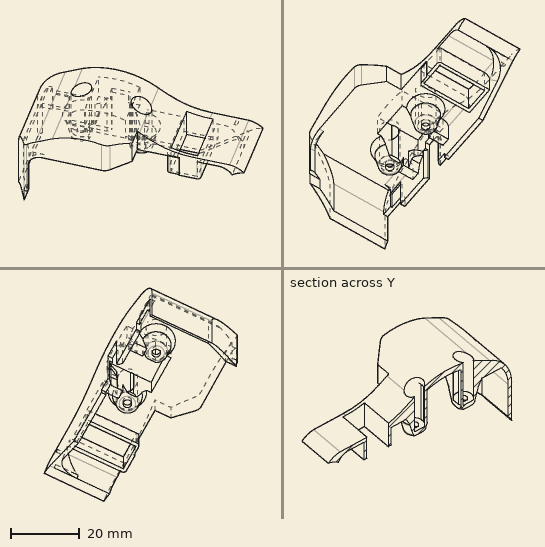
import cadquery as cq
import math

length = 68.67
width = 31.03
height = 34.01
wall = 1.5
clearance = 1.0

nose_radius = 15.0
crown_radius = 24.0
crown_x = 24.1
top_slope = math.radians(25.7)
nose_z = 15.3
swoop_start = (36.85, 30.05)
swoop_slope = math.radians(33.0)
swoop_end = (53.2, 24.56)
tail_end_x = 64.3
tip_top_mid = (66.95, 23.75)
tip = (length, 22.45)

ceiling_z = 23.06
slope_foot = (49.75, 8.4)
hook = (65.05, 20.7)
hook_arc_mid = (63.2, 22.45)
hook_arc_start_x = 60.3
tip_under_mid = (66.7, 21.75)

body_right_x = 36.2
flange_front_y = -19.6
left_corner = (5.2, -30.82)
right_corner_x = 30.0
right_chamfer_y = -24.8
left_corner_round = 1.0
right_corner_round = 3.2

leg_right_x = 6.2
leg_inner_x = 5.0
leg_bottom_z = 8.2
slanted_wall_end_x = 4.9
arch_round = 4.5
scallop_radius = 5.45
scallop_x = 5.2
scallop_top_z = 3.72

left_flap_bottom_z = 14.06
left_flap_right_x = 10.1
left_flap_top_z = 20.4
left_flap_recess = 0.5
left_plate_bottom_z = 9.7
right_plate_bottom_z = 10.1
right_plate_step_x = 32.27
slot_half_width = 2.75
slot_top_z = 26.0
slot_chamfer = 1.0
ceiling_fillet = 2.0
hook_fillet = 7.4

post_mid_x = 25.4
post_spacing = 18.25
post_y = -9.7
post_bottom_z = 14.65
post_band_z = 19.85
post_flare_z = 20.2
post_rim_radius = 3.4
post_rim_round = 1.0
post_band_radius = 4.35
post_top_radius = 5.6
screw_diameter = 2.5
head_diameter = 6.0
head_seat_z = 16.5

channel_left_x = 19.03
channel_right_x = 31.57
channel_front_y = -16.0
channel_roof_wall = 2.45
web_reach = 2.4
web_fold = (1.4, -3.9)
web_root_y = -4.9
web_knee = 0.75
web_knee_z = 18.8
web_tip_z = 21.1
web_foot_z = 14.9

window_x = (46.16, 54.2)
window_y = (-18.5, -2.54)
box_wall = 1.1
box_bottom_z = 16.1
box_round = 1.0
box_recess_right_x = 48.9
box_recess = 0.3


def block(x0, x1, y0, y1, z0, z1):
    """Axis-aligned box between the given limits."""
    return cq.Workplane("XY").box(x1 - x0, y1 - y0, z1 - z0, centered=False).translate((x0, y0, z0))


def along_y(sketch, y0, y1):
    """Extrude a closed outline drawn on the XZ plane from y0 to y1 (y0 > y1)."""
    return sketch.extrude(y0 - y1).translate((0, y0, 0))


def circle_point(center, radius, angle):
    """Point on a circle at an angle in radians from the first axis."""
    return (center[0] + radius * math.cos(angle), center[1] + radius * math.sin(angle))


def side_outline():
    """XZ outline of the part, filled in below the arch down to Z = 0."""
    nose_center = (nose_radius, nose_z)
    slope_normal = math.pi / 2 + top_slope
    nose_end = circle_point(nose_center, nose_radius, slope_normal)
    nose_mid = circle_point(nose_center, nose_radius, (math.pi + slope_normal) / 2)
    crown_center = (crown_x, height - crown_radius)
    crown_start = circle_point(crown_center, crown_radius, slope_normal)
    swoop_tangent = (math.cos(swoop_slope), -math.sin(swoop_slope))
    return (
        cq.Workplane("XZ")
        .moveTo(0, 0)
        .lineTo(0, nose_z)
        .threePointArc(nose_mid, nose_end)
        .lineTo(*crown_start)
        .threePointArc((crown_x, height), swoop_start)
        .spline([swoop_end], tangents=[swoop_tangent, (1, 0)], includeCurrent=True)
        .lineTo(tail_end_x, swoop_end[1])
        .threePointArc(tip_top_mid, tip)
        .threePointArc(tip_under_mid, hook)
        .lineTo(*slope_foot)
        .lineTo(slope_foot[0], 0)
        .close()
    )


def plan_prism(inset):
    """Prism of the plan outline, moved inward by inset and taller than the part."""
    prism_height = height + clearance
    prism = (
        cq.Workplane("XY")
        .polyline([
            (0, 0),
            (0, flange_front_y),
            left_corner,
            (right_corner_x, -width),
            (body_right_x, right_chamfer_y),
            (body_right_x, flange_front_y),
            (length, flange_front_y),
            (length, 0),
        ])
        .close()
    )
    if inset:
        return prism.offset2D(-inset, "intersection").extrude(prism_height)
    prism = prism.extrude(prism_height)
    rounded_corners = [
        (left_corner, left_corner_round),
        ((right_corner_x, -width), right_corner_round),
    ]
    for corner, radius in rounded_corners:
        edge_middle = (*corner, prism_height / 2)
        prism = prism.edges(cq.selectors.NearestToPointSelector(edge_middle)).fillet(radius)
    return prism


def upper_body(envelope):
    """Everything above the flat ceiling, with the concave underside of the lip."""
    region = along_y(
        cq.Workplane("XZ")
        .moveTo(-clearance, ceiling_z)
        .lineTo(hook_arc_start_x, ceiling_z)
        .threePointArc(hook_arc_mid, hook)
        .lineTo(length + clearance, hook[1])
        .lineTo(length + clearance, height + clearance)
        .lineTo(-clearance, height + clearance)
        .close(),
        clearance, -width - clearance,
    )
    return envelope.intersect(region)


def left_leg(envelope):
    """Left and slanted walls below the ceiling, ending in the front leg of the arch."""
    leg = block(0, leg_right_x + arch_round, -width, 0, 0, ceiling_z).intersect(envelope)
    inner_radius = nose_radius - wall
    rise = ceiling_z - nose_z
    inner_top_x = nose_radius - math.sqrt(inner_radius**2 - rise**2)
    inner_mid_angle = math.pi - math.asin(rise / inner_radius) / 2
    inner_mid = circle_point((nose_radius, nose_z), inner_radius, inner_mid_angle)
    cavity = along_y(
        cq.Workplane("XZ")
        .moveTo(wall, 0)
        .lineTo(wall, nose_z)
        .threePointArc(inner_mid, (inner_top_x, ceiling_z))
        .lineTo(body_right_x, ceiling_z)
        .lineTo(body_right_x, 0)
        .close(),
        0, -width,
    ).intersect(plan_prism(wall))
    back_opening = block(wall, body_right_x, -wall, 0, 0, left_flap_bottom_z)
    arch_center = (leg_right_x + arch_round, ceiling_z - arch_round)
    arch_mid = circle_point(arch_center, arch_round, 0.75 * math.pi)
    arch = along_y(
        cq.Workplane("XZ")
        .moveTo(leg_right_x, 0)
        .lineTo(leg_right_x, arch_center[1])
        .threePointArc(arch_mid, (arch_center[0], ceiling_z))
        .lineTo(body_right_x, ceiling_z)
        .lineTo(body_right_x, 0)
        .close(),
        -wall, -width,
    )
    below_leg = block(slanted_wall_end_x, body_right_x, -width, 0, 0, leg_bottom_z)
    scallop = along_y(
        cq.Workplane("XZ").center(scallop_x, scallop_top_z - scallop_radius).circle(scallop_radius),
        0, -width,
    )
    return leg.cut(cavity).cut(back_opening).cut(arch).cut(below_leg).cut(scallop)


def back_wall(envelope):
    """Back wall below the ceiling: stepped plates either side of the central slot."""
    slot_left = post_mid_x - slot_half_width
    slot_right = post_mid_x + slot_half_width
    flap = block(wall, left_flap_right_x, -wall, 0, left_flap_bottom_z, ceiling_z)
    left_plate = block(left_flap_right_x, slot_left, -wall, 0, left_plate_bottom_z, ceiling_z)
    left_plate = left_plate.edges("|Z and >X and <Y").chamfer(slot_chamfer)
    right_plate = block(slot_right, right_plate_step_x, -wall, 0, right_plate_bottom_z, ceiling_z)
    right_plate = right_plate.edges("|Z and <X and <Y").chamfer(slot_chamfer)
    tail_plate = block(right_plate_step_x, length, -wall, 0, slope_foot[1], ceiling_z)
    wall_solid = flap.union(left_plate).union(right_plate).union(tail_plate)
    return wall_solid.intersect(envelope)


def flap_recess():
    """Shallow step in the inner face of the back wall beside the leg."""
    return block(
        leg_inner_x, left_flap_right_x,
        -wall, left_flap_recess - wall,
        left_flap_bottom_z, left_flap_top_z,
    )


def concave_corner(plane, radius, extent):
    """Fillet filler: corner at the origin, legs along the plane's axes."""
    middle = radius * (1 - math.sqrt(0.5))
    return (
        cq.Workplane(plane)
        .lineTo(radius, 0)
        .threePointArc((middle, middle), (0, radius))
        .close()
        .extrude(extent)
    )


def ceiling_fillets(envelope):
    """Fillet between back wall and ceiling, left and right of the channel."""
    def strip(x0, x1):
        plane = cq.Plane(origin=(x0, -wall, ceiling_z), xDir=(0, -1, 0), normal=(1, 0, 0))
        return concave_corner(plane, ceiling_fillet, x1 - x0)

    left = strip(leg_inner_x, channel_left_x)
    right = strip(channel_right_x, hook_arc_start_x)
    return left.union(right).intersect(envelope)


def hook_corner(envelope):
    """Large fillet between the back wall and the hooked end of the lip."""
    run = hook[0] - slope_foot[0]
    rise = hook[1] - slope_foot[1]
    slope_length = math.hypot(run, rise)
    down_slope = (-run / slope_length, 0, -rise / slope_length)
    inward = (-rise / slope_length, 0, run / slope_length)
    plane = cq.Plane(origin=(hook[0], -wall, hook[1]), xDir=down_slope, normal=inward)
    return concave_corner(plane, hook_fillet, hook_fillet).intersect(envelope)


def post(x):
    """Tapered screw post with a rounded lower rim and a flared root."""
    rim_center = (post_rim_radius - post_rim_round, post_bottom_z + post_rim_round)
    rim_mid = circle_point(rim_center, post_rim_round, -math.pi / 4)
    return (
        cq.Workplane("XZ")
        .moveTo(0, post_bottom_z)
        .lineTo(rim_center[0], post_bottom_z)
        .threePointArc(rim_mid, (post_rim_radius, rim_center[1]))
        .lineTo(post_band_radius, post_band_z)
        .lineTo(post_band_radius, post_flare_z)
        .lineTo(post_top_radius, ceiling_z)
        .lineTo(0, ceiling_z)
        .close()
        .revolve(360, (0, 0), (0, 1))
        .translate((x, post_y, 0))
    )


def screw_hole(x):
    """Through hole with a deep counterbore from the top."""
    shank = cq.Workplane("XY").circle(screw_diameter / 2).extrude(height)
    head = cq.Workplane("XY", origin=(0, 0, head_seat_z)).circle(head_diameter / 2).extrude(height)
    return shank.union(head).translate((x, post_y, 0))


def channel():
    """Pocket between the posts, roofed by an arc that follows the hump, and the slot behind it."""
    left = channel_left_x
    right = channel_right_x
    roof_radius = crown_radius - channel_roof_wall
    roof_center_z = height - crown_radius

    def roof_point(x):
        return (x, roof_center_z + math.sqrt(roof_radius**2 - (x - crown_x) ** 2))

    pocket = along_y(
        cq.Workplane("XZ")
        .moveTo(left, post_bottom_z)
        .lineTo(*roof_point(left))
        .threePointArc(roof_point(crown_x), roof_point(right))
        .lineTo(right, post_bottom_z)
        .close(),
        -wall, channel_front_y,
    )
    slot = block(
        post_mid_x - slot_half_width, post_mid_x + slot_half_width,
        -wall - slot_chamfer, clearance,
        left_plate_bottom_z, slot_top_z,
    )
    return pocket.union(slot)


def left_web():
    """Web from the left post to the back wall, spreading towards the slot."""
    post_x = post_mid_x - post_spacing / 2
    cut_x = channel_left_x
    tip_x = cut_x + web_reach
    plan = (
        cq.Workplane("XY")
        .polyline([
            (post_x, post_y + head_diameter / 2),
            (cut_x, post_y + head_diameter / 2),
            (cut_x, web_root_y),
            (cut_x + web_fold[0], web_fold[1]),
            (tip_x, -wall),
            (post_x, -wall),
        ])
        .close()
        .extrude(height)
    )
    side = along_y(
        cq.Workplane("XZ")
        .polyline([
            (post_x, ceiling_z),
            (tip_x, ceiling_z),
            (tip_x, web_tip_z),
            (cut_x + web_knee, web_knee_z),
            (cut_x, web_foot_z),
            (post_x, web_foot_z),
        ])
        .close(),
        0, post_y,
    )
    return plan.intersect(side)


def window_box():
    """Box hanging below the tail around the window."""
    x0 = window_x[0] - box_wall
    x1 = window_x[1] + box_wall
    box = block(x0, x1, flange_front_y, -wall, box_bottom_z, ceiling_z)
    recess = block(
        x0, box_recess_right_x,
        flange_front_y, flange_front_y + box_recess,
        box_bottom_z, ceiling_z,
    )
    box = box.cut(recess)
    for side in ("<X", ">X"):
        box = box.faces(side).edges("|Z and <Y").fillet(box_round)
    return box


envelope = along_y(side_outline(), clearance, -width - clearance).intersect(plan_prism(0))
post_positions = [post_mid_x - post_spacing / 2, post_mid_x + post_spacing / 2]

result = upper_body(envelope).union(left_leg(envelope)).union(back_wall(envelope))
result = result.union(ceiling_fillets(envelope)).union(hook_corner(envelope))
for x in post_positions:
    result = result.union(post(x))
result = result.cut(channel()).cut(flap_recess())
web = left_web()
result = result.union(web)
result = result.union(web.mirror("YZ", ((channel_left_x + channel_right_x) / 2, 0, 0)))
for x in post_positions:
    result = result.cut(screw_hole(x))
result = result.union(window_box())
result = result.cut(block(*window_x, *window_y, 0, height))